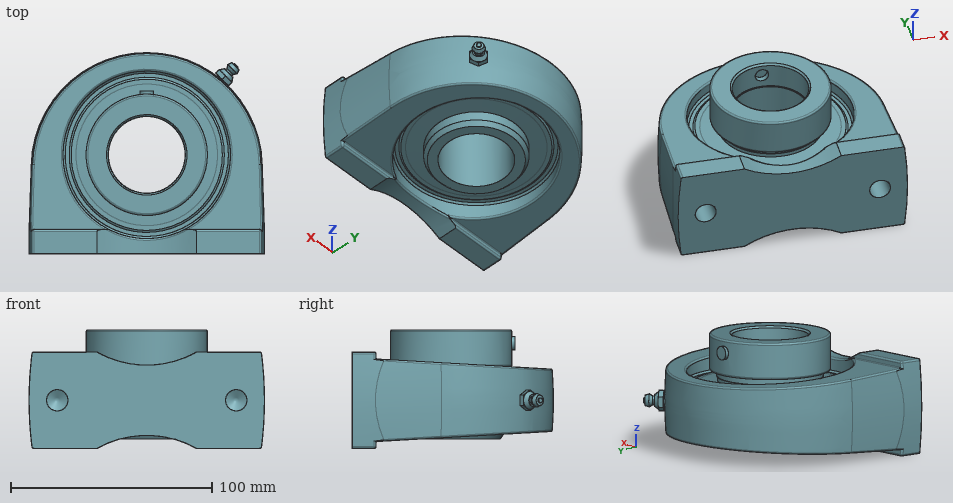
import cadquery as cq
import math


BASE_LENGTH = 117.0
BASE_WIDTH = 47.9
SHAFT_HEIGHT = 49.2
TOTAL_HEIGHT = 100.0
FOOT_THICKNESS = 12.0
FOOT_END_BULGE = 1.56
FOOT_EDGE_RADIUS = 1.0
WAIST_LENGTH = 49.4
WAIST_DEPTH = 6.5
CROWN_RADIUS = 57.5
SIDE_BULGE_RADIUS = 211.0
SIDE_TAPER = math.radians(1.8)
CROWN_HALF_WIDTH = 15.45
FACE_SLOPE = math.tan(math.radians(3.3))
BODY_EDGE_RADIUS = 0.9
STEP_FILLET = 0.4
BOLT_SPACING = 88.9
BOLT_HOLE_DIAMETER = 10.59
BOLT_HOLE_DEPTH = 20.0
DRILL_POINT_ANGLE = 118.0

BORE_DIAMETER = 83.19
BORE_EDGE_RADIUS = 0.9
SEAT_LIP_DIAMETER = 81.1
SEAT_LIP_SLOPE_HEIGHT = 1.0
RING_HALF_WIDTH = 10.0
RING_BORE_DIAMETER = 67.03

SEAL_DIAMETER = 77.1
SEAL_RIM_DIAMETER = 75.1
SEAL_CONE_DIAMETER = 70.36
SEAL_SEAT_HEIGHT = 8.0
SEAL_RIM_HEIGHT = 10.7
SEAL_LIP_HEIGHT = 11.1

SHAFT_DIAMETER = 38.1
INNER_RING_DIAMETER = 52.39
INNER_RING_NECK_DIAMETER = 48.77
INNER_RING_BOTTOM = -19.25
INNER_RING_BEVEL_HEIGHT = 2.6
INNER_RING_SHOULDER = 13.3
INNER_RING_TOP = 21.3
INNER_RING_BORE_CHAMFER = 0.4

COLLAR_DIAMETER = 60.3
COLLAR_SPIGOT_DIAMETER = 53.15
COLLAR_BOTTOM = 16.6
COLLAR_TOP = 34.94
COLLAR_EDGE_RADIUS = 0.9
COLLAR_BORE_CHAMFER = 0.95
SCREW_DIAMETER = 6.78
SCREW_HEIGHT = 28.4
SCREW_INNER_END = 22.0
SCREW_OUTER_END = 31.75

NIPPLE_ANGLE = 45.0
NIPPLE_STEM_DIAMETER = 6.0
NIPPLE_STEM_START = 46.0
HEX_START = 52.9
HEX_END = 55.4
HEX_ACROSS_FLATS = 9.0
NIPPLE_SHOULDER = 57.5
NIPPLE_WAIST_DIAMETER = 4.4
NIPPLE_WAIST_END = 58.5
NIPPLE_HEAD_DIAMETER = 6.6
NIPPLE_HEAD_WIDEST = 60.2
NIPPLE_HEAD_END = 62.3
NIPPLE_TIP_FACE_DIAMETER = 5.2
NIPPLE_NOSE_DIAMETER = 2.51
NIPPLE_NOSE_END = 62.9

BASE_Y = -SHAFT_HEIGHT
CROWN_Y = TOTAL_HEIGHT - SHAFT_HEIGHT
CROWN_CENTRE_Y = CROWN_Y - CROWN_RADIUS
STEP_Y = BASE_Y + FOOT_THICKNESS
BODY_END_Y = STEP_Y - 1.5 * FOOT_EDGE_RADIUS
SEAT_RADIUS = math.hypot(SEAT_LIP_DIAMETER / 2, RING_HALF_WIDTH)
REACH = 2 * BASE_LENGTH


def body_half_width(y):
    """Half width of the tapered body at a given height along Y."""
    return CROWN_HALF_WIDTH + (CROWN_Y - y) * FACE_SLOPE


def revolve_z(points):
    """Solid of revolution about Z from an (r, z) outline."""
    return cq.Workplane("XZ").polyline(points).close().revolve(360, (0, 0, 0), (0, 1, 0))


def foot_outline():
    """Foot section in XZ with bulged ends, pushed along Y from the mounting face."""
    half_length = BASE_LENGTH / 2
    corner_x = half_length - FOOT_END_BULGE
    half_width = BASE_WIDTH / 2
    return (
        cq.Workplane("XZ", origin=(0, BASE_Y, 0))
        .moveTo(-corner_x, -half_width)
        .lineTo(corner_x, -half_width)
        .threePointArc((half_length, 0), (corner_x, half_width))
        .lineTo(-corner_x, half_width)
        .threePointArc((-half_length, 0), (-corner_x, -half_width))
        .close()
    )


def foot_waists():
    """Two cylinders that relieve the middle of the foot, above and below."""
    half_chord = WAIST_LENGTH / 2
    radius = (half_chord**2 + WAIST_DEPTH**2) / (2 * WAIST_DEPTH)
    offset = BASE_WIDTH / 2 - WAIST_DEPTH + radius
    return (
        cq.Workplane("XZ", origin=(0, BASE_Y, 0))
        .pushPoints([(0, offset), (0, -offset)])
        .circle(radius)
        .extrude(-FOOT_THICKNESS)
    )


def make_foot():
    foot = foot_outline().extrude(-FOOT_THICKNESS)
    foot = foot.edges("|Y or >Y").fillet(FOOT_EDGE_RADIUS)
    return foot.cut(foot_waists())


def barrel_section(plane, inner_x):
    """Section of the body side, from inner_x out to the bulged flank at CROWN_RADIUS."""
    half_height = BASE_WIDTH / 2
    drop = SIDE_BULGE_RADIUS - math.sqrt(SIDE_BULGE_RADIUS**2 - half_height**2)
    edge_x = CROWN_RADIUS - drop
    return (
        cq.Workplane(plane)
        .moveTo(inner_x, -half_height)
        .lineTo(edge_x, -half_height)
        .threePointArc((CROWN_RADIUS, 0), (edge_x, half_height))
        .lineTo(inner_x, half_height)
        .close()
    )


def make_body():
    """Round crown with tangent flanks that spread toward the foot."""
    centre = (0, CROWN_CENTRE_Y, 0)
    crown_plane = cq.Plane(origin=centre, xDir=(1, 0, 0), normal=(0, -1, 0))
    body = barrel_section(crown_plane, 0).revolve(360, (0, 0, 0), (0, 1, 0))
    flank_length = CROWN_CENTRE_Y - BASE_Y
    for side in (-1, 1):
        outward = (side * math.cos(SIDE_TAPER), math.sin(SIDE_TAPER), 0)
        along = (side * math.sin(SIDE_TAPER), -math.cos(SIDE_TAPER), 0)
        flank_plane = cq.Plane(origin=centre, xDir=outward, normal=along)
        body = body.union(barrel_section(flank_plane, -CROWN_RADIUS / 4).extrude(flank_length))

    top_y = CROWN_Y + BODY_EDGE_RADIUS
    wedge = (
        cq.Workplane("YZ")
        .polyline([
            (top_y, -body_half_width(top_y)),
            (top_y, body_half_width(top_y)),
            (BODY_END_Y, body_half_width(BODY_END_Y)),
            (BODY_END_Y, -body_half_width(BODY_END_Y)),
        ])
        .close()
        .extrude(REACH / 2, both=True)
    )
    body = body.intersect(wedge)
    body = body.faces(">Z or <Z").edges("not(<Y)").fillet(BODY_EDGE_RADIUS)
    return body.intersect(foot_outline().extrude(-REACH))


def bearing_seat():
    """Void for the bearing: spherical seat, short lip slopes and a straight bore."""
    lip_radius = SEAT_LIP_DIAMETER / 2
    bore_radius = BORE_DIAMETER / 2
    slope_end = RING_HALF_WIDTH + SEAT_LIP_SLOPE_HEIGHT
    return (
        cq.Workplane("XZ")
        .moveTo(0, -BASE_WIDTH)
        .lineTo(bore_radius, -BASE_WIDTH)
        .lineTo(bore_radius, -slope_end)
        .lineTo(lip_radius, -RING_HALF_WIDTH)
        .threePointArc((SEAT_RADIUS, 0), (lip_radius, RING_HALF_WIDTH))
        .lineTo(bore_radius, slope_end)
        .lineTo(bore_radius, BASE_WIDTH)
        .lineTo(0, BASE_WIDTH)
        .close()
        .revolve(360, (0, 0, 0), (0, 1, 0))
    )


def bolt_holes():
    """Blind holes with drill points, sunk from the mounting face."""
    radius = BOLT_HOLE_DIAMETER / 2
    point_depth = radius / math.tan(math.radians(DRILL_POINT_ANGLE / 2))
    hole = (
        cq.Workplane("XY")
        .polyline([
            (0, BASE_Y),
            (radius, BASE_Y),
            (radius, BASE_Y + BOLT_HOLE_DEPTH),
            (0, BASE_Y + BOLT_HOLE_DEPTH + point_depth),
        ])
        .close()
        .revolve(360, (0, 0, 0), (0, 1, 0))
    )
    half = BOLT_SPACING / 2
    return hole.translate((-half, 0, 0)).union(hole.translate((half, 0, 0)))


def nipple_plane(distance):
    """Plane square to the nipple axis, at a distance from the shaft axis."""
    angle = math.radians(NIPPLE_ANGLE)
    axis = (math.cos(angle), math.sin(angle), 0)
    across = (-axis[1], axis[0], 0)
    origin = (distance * axis[0], distance * axis[1], 0)
    return cq.Workplane(cq.Plane(origin=origin, xDir=across, normal=axis))


def nipple_stem():
    stem_length = HEX_START - NIPPLE_STEM_START
    return nipple_plane(NIPPLE_STEM_START).circle(NIPPLE_STEM_DIAMETER / 2).extrude(stem_length)


def is_bore_rim(edge):
    """True for an edge that runs round the bore where it breaks out of the housing."""
    points = [edge.positionAt(place) for place in (0, 0.3, 0.7, 1)]
    on_bore = all(math.isclose(math.hypot(p.x, p.y), BORE_DIAMETER / 2, abs_tol=0.02) for p in points)
    outside_seat = abs(points[1].z) > RING_HALF_WIDTH + 2 * SEAT_LIP_SLOPE_HEIGHT
    return on_bore and outside_seat and edge.geomType() != "LINE"


def open_bearing_seat(part):
    """Cut the bearing seat and round both rims of the bore."""
    part = part.cut(bearing_seat())
    for side in (1, -1):
        rims = [edge for edge in part.edges().vals() if is_bore_rim(edge) and side * edge.Center().z > 0]
        part = part.newObject(rims).fillet(BORE_EDGE_RADIUS)
    return part


def foot_root_fillets():
    """Concave fillets where the sloped body faces meet the foot, above and below."""
    slope_angle = math.atan(FACE_SLOPE)
    centre_y = STEP_Y + STEP_FILLET
    centre_z = body_half_width(centre_y) + STEP_FILLET / math.cos(slope_angle)
    mid_angle = math.radians(225) + slope_angle / 2
    tangent_y = centre_y - STEP_FILLET * math.sin(slope_angle)
    length = BASE_LENGTH - 2 * (FOOT_END_BULGE + FOOT_EDGE_RADIUS)
    upper = (
        cq.Workplane("YZ")
        .moveTo(STEP_Y, centre_z)
        .threePointArc(
            (centre_y + STEP_FILLET * math.cos(mid_angle), centre_z + STEP_FILLET * math.sin(mid_angle)),
            (tangent_y, body_half_width(tangent_y)),
        )
        .lineTo(tangent_y, body_half_width(tangent_y) - STEP_FILLET)
        .lineTo(STEP_Y, body_half_width(tangent_y) - STEP_FILLET)
        .close()
        .extrude(length / 2, both=True)
    )
    upper = upper.cut(cq.Workplane("XY").circle(BORE_DIAMETER / 2 + BORE_EDGE_RADIUS).extrude(BASE_WIDTH))
    return upper.union(upper.mirror("XY"))


def make_housing():
    middle_of_foot = cq.Workplane("XY", origin=(0, (BASE_Y + STEP_Y) / 2, 0)).box(
        WAIST_LENGTH, FOOT_THICKNESS, BASE_WIDTH
    )
    body = open_bearing_seat(make_body()).cut(middle_of_foot)
    foot = open_bearing_seat(make_foot())
    housing = body.union(foot).union(foot_root_fillets())
    return housing.cut(bolt_holes()).cut(nipple_stem())


def make_outer_ring():
    """Spherical outer ring with a recess for a seal on each side."""
    face_radius = SEAT_LIP_DIAMETER / 2
    bore_radius = RING_BORE_DIAMETER / 2
    recess_radius = SEAL_DIAMETER / 2
    return (
        cq.Workplane("XZ")
        .moveTo(bore_radius, -SEAL_SEAT_HEIGHT)
        .lineTo(recess_radius, -SEAL_SEAT_HEIGHT)
        .lineTo(recess_radius, -RING_HALF_WIDTH)
        .lineTo(face_radius, -RING_HALF_WIDTH)
        .threePointArc((SEAT_RADIUS, 0), (face_radius, RING_HALF_WIDTH))
        .lineTo(recess_radius, RING_HALF_WIDTH)
        .lineTo(recess_radius, SEAL_SEAT_HEIGHT)
        .lineTo(bore_radius, SEAL_SEAT_HEIGHT)
        .close()
        .revolve(360, (0, 0, 0), (0, 1, 0))
    )


def make_seal(side):
    """Annular seal closing the gap between the rings; side is +1 (top) or -1 (bottom)."""
    outline = [
        (INNER_RING_DIAMETER / 2, SEAL_SEAT_HEIGHT),
        (SEAL_DIAMETER / 2, SEAL_SEAT_HEIGHT),
        (SEAL_DIAMETER / 2, RING_HALF_WIDTH),
        (SEAL_RIM_DIAMETER / 2, SEAL_RIM_HEIGHT),
        (SEAL_CONE_DIAMETER / 2, SEAL_RIM_HEIGHT),
        (INNER_RING_DIAMETER / 2, SEAL_LIP_HEIGHT),
    ]
    return revolve_z([(radius, side * height) for radius, height in outline])


def make_inner_ring():
    bore_radius = SHAFT_DIAMETER / 2
    ring_radius = INNER_RING_DIAMETER / 2
    neck_radius = INNER_RING_NECK_DIAMETER / 2
    ring = revolve_z([
        (bore_radius, INNER_RING_BOTTOM),
        (neck_radius, INNER_RING_BOTTOM),
        (ring_radius, INNER_RING_BOTTOM + INNER_RING_BEVEL_HEIGHT),
        (ring_radius, INNER_RING_SHOULDER),
        (neck_radius, INNER_RING_SHOULDER),
        (neck_radius, INNER_RING_TOP),
        (bore_radius, INNER_RING_TOP),
    ])
    bore_edge = cq.selectors.RadiusNthSelector(0)
    return ring.faces(">Z").edges(bore_edge).chamfer(INNER_RING_BORE_CHAMFER)


def set_screw(inner_end):
    """Radial cylinder through the collar wall, from inner_end outward."""
    return (
        cq.Workplane("XZ", origin=(0, inner_end, SCREW_HEIGHT))
        .circle(SCREW_DIAMETER / 2)
        .extrude(inner_end - SCREW_OUTER_END)
    )


def make_collar():
    bore_radius = SHAFT_DIAMETER / 2
    outer_radius = COLLAR_DIAMETER / 2
    spigot_radius = COLLAR_SPIGOT_DIAMETER / 2
    neck_radius = INNER_RING_NECK_DIAMETER / 2
    collar = revolve_z([
        (bore_radius, INNER_RING_TOP),
        (neck_radius, INNER_RING_TOP),
        (neck_radius, INNER_RING_SHOULDER),
        (spigot_radius, INNER_RING_SHOULDER),
        (spigot_radius, COLLAR_BOTTOM),
        (outer_radius, COLLAR_BOTTOM),
        (outer_radius, COLLAR_TOP),
        (bore_radius, COLLAR_TOP),
    ])
    collar = collar.edges(cq.selectors.RadiusNthSelector(-1)).fillet(COLLAR_EDGE_RADIUS)
    collar = collar.faces(">Z").edges(cq.selectors.RadiusNthSelector(0)).chamfer(COLLAR_BORE_CHAMFER)
    return collar.cut(set_screw(0))


def make_nipple():
    """Grease nipple: stem, hexagon with coned shoulder, waist, head and nose."""
    hexagon = (
        nipple_plane(HEX_START)
        .polygon(6, HEX_ACROSS_FLATS, circumscribed=True)
        .extrude(HEX_END - HEX_START)
    )
    cone_radius = HEX_ACROSS_FLATS / 2
    stem_radius = NIPPLE_STEM_DIAMETER / 2
    waist_radius = NIPPLE_WAIST_DIAMETER / 2
    head = (
        cq.Workplane("XY")
        .polyline([
            (HEX_END, 0),
            (HEX_END, cone_radius),
            (NIPPLE_SHOULDER, stem_radius),
            (NIPPLE_SHOULDER, waist_radius),
            (NIPPLE_WAIST_END, waist_radius),
            (NIPPLE_HEAD_WIDEST, NIPPLE_HEAD_DIAMETER / 2),
            (NIPPLE_HEAD_END, NIPPLE_TIP_FACE_DIAMETER / 2),
            (NIPPLE_HEAD_END, NIPPLE_NOSE_DIAMETER / 2),
            (NIPPLE_NOSE_END, NIPPLE_NOSE_DIAMETER / 2),
            (NIPPLE_NOSE_END, 0),
        ])
        .close()
        .revolve(360, (0, 0, 0), (1, 0, 0))
        .rotate((0, 0, 0), (0, 0, 1), NIPPLE_ANGLE)
    )
    return nipple_stem().union(hexagon).union(head)


housing = make_housing()
outer_ring = make_outer_ring()
seals = [make_seal(side) for side in (1, -1)]
inner_ring = make_inner_ring()
collar = make_collar()
screw = set_screw(SCREW_INNER_END)
nipple = make_nipple()

result = cq.Compound.makeCompound([
    housing.val(),
    outer_ring.val(),
    *[seal.val() for seal in seals],
    inner_ring.val(),
    collar.val(),
    screw.val(),
    nipple.val(),
])